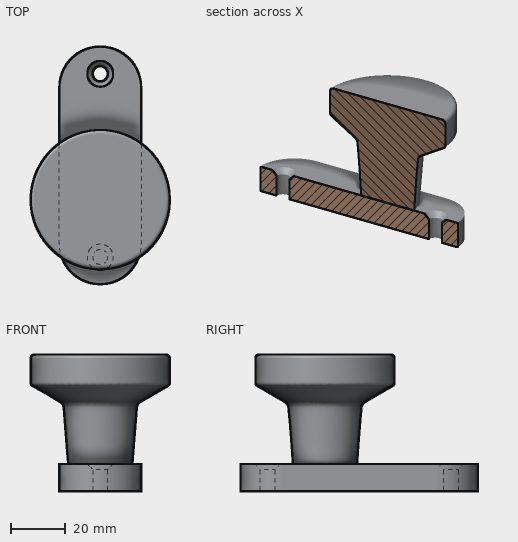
import cadquery as cq

plate_length = 87.0
plate_width = 30.0
plate_thickness = 10.0

screw_hole_diameter = 5.5
countersink_diameter = 9.5
countersink_angle = 90.0
screw_end_distance = 10.0
screw_y = plate_length / 2 - screw_end_distance

total_height = 50.0
knob_y = -12.5
head_diameter = 51.0
rim_height = 11.05
head_height = 18.0
neck_top_diameter = 27.1
neck_bottom_diameter = 23.6
head_edge_radius = 1.5
throat_radius = 2.0
neck_foot_radius = 0.5

knob_height = total_height - plate_thickness
rim_bottom_z = knob_height - rim_height
neck_top_z = knob_height - head_height


def make_plate():
    """Round-ended plate with a countersunk screw hole near each end."""
    plate = cq.Workplane("XY").slot2D(plate_length, plate_width, 90).extrude(plate_thickness)
    return (
        plate.faces(">Z")
        .workplane(origin=(0, 0, plate_thickness))
        .pushPoints([(0, -screw_y), (0, screw_y)])
        .cskHole(screw_hole_diameter, countersink_diameter, countersink_angle)
    )


def circle_at(height):
    """Selector for the circular edge of the knob at the given height."""
    tolerance = 0.01
    reach = head_diameter
    return cq.selectors.BoxSelector(
        (-reach, -reach, height - tolerance),
        (reach, reach, height + tolerance),
    )


def make_knob():
    """Turned knob: tapered neck, conical underside and cylindrical rim, with rounded edges."""
    half_profile = [
        (0, 0),
        (neck_bottom_diameter / 2, 0),
        (neck_top_diameter / 2, neck_top_z),
        (head_diameter / 2, rim_bottom_z),
        (head_diameter / 2, knob_height),
        (0, knob_height),
    ]
    knob = cq.Workplane("XZ").polyline(half_profile).close().revolve(360, (0, 0), (0, 1))
    knob = knob.edges(circle_at(neck_top_z)).fillet(throat_radius)
    knob = knob.edges(circle_at(rim_bottom_z)).fillet(head_edge_radius)
    knob = knob.edges(circle_at(knob_height)).fillet(head_edge_radius)
    knob = knob.edges(circle_at(0)).fillet(neck_foot_radius)
    return knob.translate((0, knob_y, plate_thickness))


plate = make_plate()
knob = make_knob()

result = cq.Compound.makeCompound([plate.val(), knob.val()])